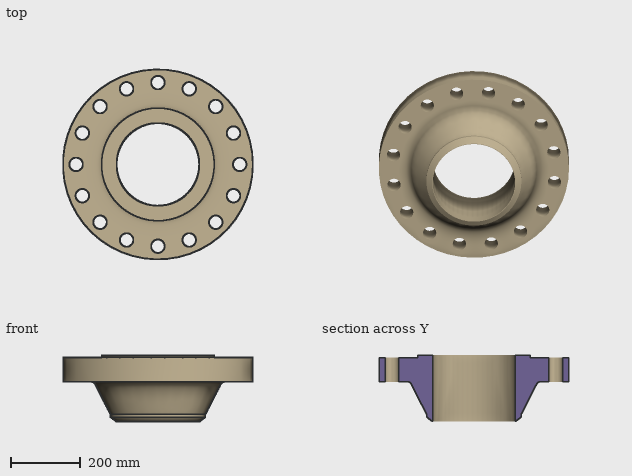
import cadquery as cq
import math

flange_diameter = 546.1
flange_thickness = 69.85
bolt_circle_diameter = 469.9
bolt_hole_diameter = 38.1
bolt_hole_count = 16

raised_face_diameter = 323.85
raised_face_height = 6.35

overall_height = 190.5
bore_diameter = 236.5
hub_base_diameter = 368.3
weld_end_diameter = 273.05
weld_land_height = 8.0
weld_root_thickness = 1.6
weld_bevel_angle = 37.5
hub_fillet_radius = 14.0

flange_top = overall_height - raised_face_height
flange_bottom = flange_top - flange_thickness

flange_radius = flange_diameter / 2
raised_face_radius = raised_face_diameter / 2
bore_radius = bore_diameter / 2
hub_base_radius = hub_base_diameter / 2
weld_end_radius = weld_end_diameter / 2

root_radius = bore_radius + weld_root_thickness
bevel_top = (weld_end_radius - root_radius) * math.tan(math.radians(weld_bevel_angle))
land_top = bevel_top + weld_land_height


def flange_body():
    """Plate, raised face, hub and bore, revolved from one half section."""
    half_section = [
        (bore_radius, 0),
        (root_radius, 0),
        (weld_end_radius, bevel_top),
        (weld_end_radius, land_top),
        (hub_base_radius, flange_bottom),
        (flange_radius, flange_bottom),
        (flange_radius, flange_top),
        (raised_face_radius, flange_top),
        (raised_face_radius, overall_height),
        (bore_radius, overall_height),
    ]
    return (
        cq.Workplane("XZ")
        .polyline(half_section)
        .close()
        .revolve(360, (0, 0, 0), (0, 1, 0))
    )


def round_hub_base(body):
    """Fillet the corner where the hub meets the underside of the plate."""
    margin = 1.0
    half_box = hub_base_radius + margin
    corner = cq.selectors.BoxSelector(
        (-half_box, -half_box, flange_bottom - margin),
        (half_box, half_box, flange_bottom + margin),
        boundingbox=True,
    )
    return body.edges(corner).fillet(hub_fillet_radius)


def bolt_holes():
    """Cylinders on the bolt circle, long enough to pass through the plate."""
    return (
        cq.Workplane("XY", origin=(0, 0, flange_bottom))
        .polarArray(bolt_circle_diameter / 2, 0, 360, bolt_hole_count)
        .circle(bolt_hole_diameter / 2)
        .extrude(flange_thickness)
    )


result = round_hub_base(flange_body()).cut(bolt_holes())